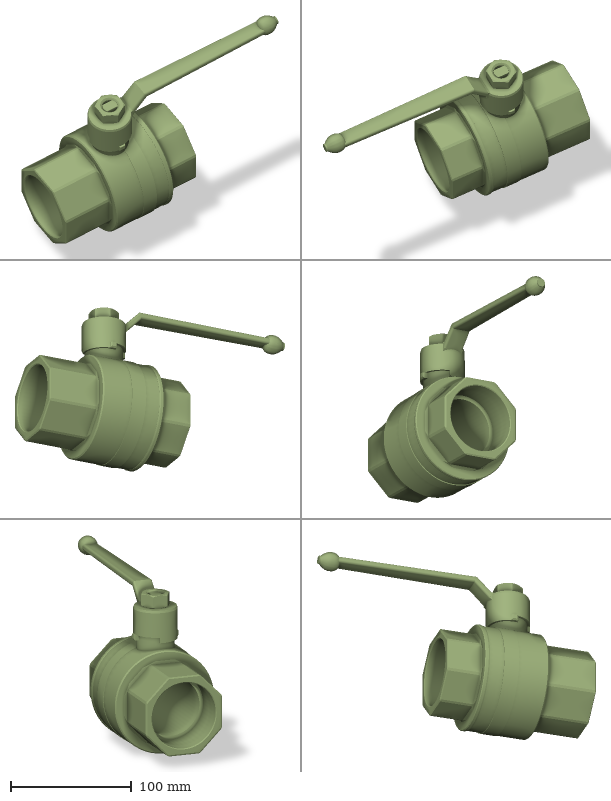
import cadquery as cq
import math


SHELL_FRONT_Y = -21.75
BAND_FRONT_Y = 4.7
BAND_BACK_Y = 17.5
LIP_FRONT_Y = 30.0
SHELL_BACK_Y = 34.1
FRONT_SHELL_D = 88.5
BACK_SHELL_D = 88.0
BAND_D = 89.5
SHELL_CHAMFER = 1.0
LIP_CHAMFER = 0.7
LIP_FRONT_BEVEL = 1.2
LIP_FRONT_DROP = 0.4

END_FRONT_Y = -66.0
END_BACK_Y = 64.0
OCTAGON_FLATS = 68.0
OCTAGON_CORNER_CUT = 1.28
END_CHAMFER_LENGTH = 0.7
END_CHAMFER_DEPTH = 1.2
FLARE_LENGTH = 1.3
FLARE_RISE = 2.2
FLARE_CORNER_CUT = 6.3

BORE_D = 50.0
SOCKET_D = 56.66
SOCKET_DEPTH = 29.5
SOCKET_CHAMFER = 0.7

NECK_D = 32.0
NECK_TOP_Z = 55.0
TAB_HEIGHT = 4.8
TAB_WIDTH = 6.0
TAB_REACH = 20.0
TAB_CHAMFER = 1.2
STEM_D = 12.5
STEM_FLATS = 8.0

HUB_D = 37.0
HUB_BORE_D = 33.0
HUB_TOP_Z = 78.1
HUB_EDGE_DEPTH = 2.0
HUB_EDGE_INSET = 0.7
SKIRT_BOTTOM_Z = NECK_TOP_Z - TAB_HEIGHT

ARM_THICKNESS = 5.3
ARM_MID_Z = 89.3
ARM_SLOPE = 45.0
ARM_BEND_Y = 29.4
ARM_ROOT_Y = 12.0
ARM_BEND_WIDTH = 17.0
ARM_TIP_WIDTH = 13.0
ARM_ROUND = 1.75
ROOT_TOE_Y = 14.9
ROOT_HEEL_Y = 16.7
KNOB_R = 8.0
KNOB_Z = 89.07
KNOB_Y = 155.2
KNOB_STUB_R = 3.5
KNOB_STUB_Y = 164.1
KNOB_STUB_TANGENT = (-1, 1)
KNOB_END_Y = 165.33

NUT_FLATS = 22.0
NUT_HEIGHT = 11.0
NUT_BORE_D = 13.0
NUT_COUNTERSINK_D = 16.0
NUT_CORNER_CHAMFER = 30.0
NUT_TOP_Z = HUB_TOP_Z + NUT_HEIGHT
STEM_RECESS = 1.0
STEM_TOP_Z = NUT_TOP_Z - STEM_RECESS


def cylinder_z(diameter, bottom, top):
    return cq.Workplane("XY").workplane(offset=bottom).circle(diameter / 2).extrude(top - bottom)


def cylinder_y(diameter, start, end):
    return cq.Workplane("XZ", origin=(0, start, 0)).circle(diameter / 2).extrude(start - end)


def octagon_points(flats, corner_cut=0.0):
    """Octagon with a flat on top; a corner cut replaces each corner by a narrow facet."""
    apothem = flats / 2
    half_side = apothem * math.tan(math.pi / 8) - corner_cut
    offsets = [-half_side, half_side] if corner_cut else [half_side]
    points = []
    for side in range(8):
        angle = side * math.pi / 4
        for offset in offsets:
            x = apothem * math.sin(angle) + offset * math.cos(angle)
            z = apothem * math.cos(angle) - offset * math.sin(angle)
            points.append((x, z))
    return points


def loft_y(start, start_points, end, end_points):
    first = cq.Workplane("XZ", origin=(0, start, 0)).polyline(start_points).close()
    return first.workplane(offset=start - end).polyline(end_points).close().loft(ruled=True)


def octagon_end(face_y, outer_y):
    """Octagonal pipe end from the shell face to its chamfered outer end, flared at the shell."""
    outward = math.copysign(1, outer_y - face_y)
    chamfer_y = outer_y - outward * END_CHAMFER_LENGTH
    flare_y = face_y + outward * FLARE_LENGTH
    cut_octagon = octagon_points(OCTAGON_FLATS, OCTAGON_CORNER_CUT)
    sharp_octagon = octagon_points(OCTAGON_FLATS)
    end_octagon = octagon_points(OCTAGON_FLATS - 2 * END_CHAMFER_DEPTH)
    flare_octagon = octagon_points(OCTAGON_FLATS + 2 * FLARE_RISE, FLARE_CORNER_CUT)

    prism = loft_y(0, cut_octagon, outer_y, cut_octagon)
    envelope = loft_y(0, sharp_octagon, chamfer_y, sharp_octagon)
    envelope = envelope.union(loft_y(chamfer_y, sharp_octagon, outer_y, end_octagon))
    return prism.intersect(envelope).union(loft_y(face_y, flare_octagon, flare_y, cut_octagon))


def shell():
    """Turned shell with a raised middle band and a raised lip at the back."""
    front_r = FRONT_SHELL_D / 2
    back_r = BACK_SHELL_D / 2
    band_r = BAND_D / 2
    profile = [
        (0, SHELL_FRONT_Y),
        (front_r - SHELL_CHAMFER, SHELL_FRONT_Y),
        (front_r, SHELL_FRONT_Y + SHELL_CHAMFER),
        (front_r, BAND_FRONT_Y),
        (band_r, BAND_FRONT_Y),
        (band_r, BAND_BACK_Y),
        (back_r, BAND_BACK_Y),
        (back_r, LIP_FRONT_Y),
        (band_r - LIP_FRONT_DROP, LIP_FRONT_Y),
        (band_r, LIP_FRONT_Y + LIP_FRONT_BEVEL),
        (band_r, SHELL_BACK_Y - LIP_CHAMFER),
        (band_r - LIP_CHAMFER, SHELL_BACK_Y),
        (0, SHELL_BACK_Y),
    ]
    return cq.Workplane("XY").polyline(profile).close().revolve(360, (0, 0), (0, 1))


def socket_cutter(outer_y):
    """Pipe socket with a chamfered mouth, cut inward from one octagonal end."""
    inward = -math.copysign(1, outer_y)
    depth_y = outer_y + inward * SOCKET_DEPTH
    socket_r = SOCKET_D / 2
    profile = [
        (0, outer_y),
        (socket_r + SOCKET_CHAMFER, outer_y),
        (socket_r, outer_y + inward * SOCKET_CHAMFER),
        (socket_r, depth_y),
        (0, depth_y),
    ]
    return cq.Workplane("XY").polyline(profile).close().revolve(360, (0, 0), (0, 1))


def stop_tabs():
    """Two opposite tabs that stop the hub skirt, made as one bar through the neck."""
    tabs = cq.Workplane("XY", origin=(0, 0, SKIRT_BOTTOM_Z))
    tabs = tabs.rect(2 * TAB_REACH, TAB_WIDTH).extrude(TAB_HEIGHT)
    tabs = tabs.edges("|Z").chamfer(TAB_CHAMFER)
    return tabs.faces("<X or >X").edges("<Z").chamfer(TAB_CHAMFER)


def stem(bottom, top):
    """Round stem with two flats; the same shape cuts its keyed hole in the hub."""
    flats = cq.Workplane("XY").box(STEM_FLATS, 2 * STEM_D, 4 * top)
    return cylinder_z(STEM_D, bottom, top).intersect(flats)


def make_housing():
    body = shell()
    body = body.union(octagon_end(SHELL_FRONT_Y, END_FRONT_Y))
    body = body.union(octagon_end(SHELL_BACK_Y, END_BACK_Y))
    body = body.union(cylinder_z(NECK_D, 0, NECK_TOP_Z))
    body = body.union(stop_tabs())
    body = body.union(stem(0, STEM_TOP_Z))
    body = body.cut(cylinder_y(BORE_D, END_FRONT_Y, END_BACK_Y))
    for outer_y in (END_FRONT_Y, END_BACK_Y):
        body = body.cut(socket_cutter(outer_y))
    return body


def hub():
    """Round hub whose lower skirt keeps two opposite quarters, clear of the stop tabs."""
    edge_r = HUB_D / 2 - HUB_EDGE_INSET
    profile = [
        (0, SKIRT_BOTTOM_Z),
        (HUB_D / 2, SKIRT_BOTTOM_Z),
        (HUB_D / 2, HUB_TOP_Z - HUB_EDGE_DEPTH),
        (edge_r, HUB_TOP_Z),
        (0, HUB_TOP_Z),
    ]
    body = cq.Workplane("XZ").polyline(profile).close().revolve(360, (0, 0), (0, 1))
    body = body.cut(cylinder_z(HUB_BORE_D, SKIRT_BOTTOM_Z, NECK_TOP_Z))
    for side in (-1, 1):
        gap = cq.Workplane("XY", origin=(0, 0, SKIRT_BOTTOM_Z)).center(
            side * (HUB_D + TAB_WIDTH) / 2, side * (HUB_D - TAB_WIDTH) / 2
        )
        body = body.cut(gap.rect(HUB_D, HUB_D).extrude(TAB_HEIGHT))
    return body


def arm_plan():
    """Arm seen from above: a long taper from the hub to the knob."""
    taper = (ARM_BEND_WIDTH - ARM_TIP_WIDTH) / (KNOB_Y - ARM_BEND_Y)
    root_half = (ARM_BEND_WIDTH + taper * (ARM_BEND_Y - ARM_ROOT_Y)) / 2
    tip_half = ARM_TIP_WIDTH / 2
    plan = [
        (-root_half, ARM_ROOT_Y),
        (root_half, ARM_ROOT_Y),
        (tip_half, KNOB_Y),
        (-tip_half, KNOB_Y),
    ]
    return cq.Workplane("XY").polyline(plan).close().extrude(2 * ARM_MID_Z)


def arm_layer(side_profile):
    bar = cq.Workplane("YZ").polyline(side_profile).close().extrude(ARM_BEND_WIDTH, both=True)
    return bar.intersect(arm_plan())


def arm():
    """Flat bar bent down to the hub, with rounded long edges and a square-edged root."""
    top_z = ARM_MID_Z + ARM_THICKNESS / 2
    bottom_z = ARM_MID_Z - ARM_THICKNESS / 2
    slope = math.radians(ARM_SLOPE)
    inner_bend_y = ARM_BEND_Y + ARM_THICKNESS * math.tan(slope / 2)

    def slope_top_z(y):
        return top_z - (ARM_BEND_Y - y) * math.tan(slope)

    def slope_bottom_z(y):
        return bottom_z - (inner_bend_y - y) * math.tan(slope)

    bar = arm_layer([
        (KNOB_Y, top_z),
        (ARM_BEND_Y, top_z),
        (ARM_ROOT_Y, slope_top_z(ARM_ROOT_Y)),
        (ARM_ROOT_Y, slope_bottom_z(ARM_ROOT_Y)),
        (inner_bend_y, bottom_z),
        (KNOB_Y, bottom_z),
    ])
    bar = bar.faces("<X or >X").edges("not |Z").fillet(ARM_ROUND)
    root = arm_layer([
        (ROOT_TOE_Y, HUB_TOP_Z),
        (ROOT_HEEL_Y, slope_top_z(ROOT_HEEL_Y)),
        (HUB_D / 2, slope_bottom_z(HUB_D / 2)),
        (ROOT_TOE_Y, slope_bottom_z(ROOT_TOE_Y)),
    ])
    return bar.union(root)


def knob():
    """Egg-shaped knob, round towards the arm, ending in a short cylindrical stub."""
    profile = (
        cq.Workplane("XY", origin=(0, 0, KNOB_Z))
        .moveTo(0, KNOB_Y - KNOB_R)
        .spline(
            [(KNOB_R, KNOB_Y), (KNOB_STUB_R, KNOB_STUB_Y)],
            tangents=[(1, 0), (0, 1), KNOB_STUB_TANGENT],
            includeCurrent=True,
        )
        .lineTo(KNOB_STUB_R, KNOB_END_Y)
        .lineTo(0, KNOB_END_Y)
        .close()
    )
    return profile.revolve(360, (0, 0), (0, 1))


def make_lever():
    body = hub().union(arm()).union(knob())
    return body.cut(stem(SKIRT_BOTTOM_Z, NUT_TOP_Z))


def make_nut():
    """Hexagon nut with chamfered corners, a plain bore and a countersunk top."""
    corner_d = NUT_FLATS / math.cos(math.pi / 6)
    corner_r = corner_d / 2
    flat_r = NUT_FLATS / 2
    chamfer = (corner_r - flat_r) * math.tan(math.radians(NUT_CORNER_CHAMFER))
    blank_profile = [
        (0, HUB_TOP_Z),
        (flat_r, HUB_TOP_Z),
        (corner_r, HUB_TOP_Z + chamfer),
        (corner_r, NUT_TOP_Z - chamfer),
        (flat_r, NUT_TOP_Z),
        (0, NUT_TOP_Z),
    ]
    blank = cq.Workplane("XZ").polyline(blank_profile).close().revolve(360, (0, 0), (0, 1))
    hexagon = cq.Workplane("XY", origin=(0, 0, HUB_TOP_Z)).polygon(6, corner_d).extrude(NUT_HEIGHT)
    body = hexagon.intersect(blank).cut(cylinder_z(NUT_BORE_D, HUB_TOP_Z, NUT_TOP_Z))
    countersink_r = NUT_COUNTERSINK_D / 2
    countersink = cq.Solid.makeCone(
        0, countersink_r, countersink_r, pnt=cq.Vector(0, 0, NUT_TOP_Z - countersink_r)
    )
    return body.cut(cq.Workplane(countersink))


housing = make_housing().solids()
lever = make_lever().solids()
nut = make_nut().solids()

result = cq.Compound.makeCompound([housing.val(), lever.val(), nut.val()])